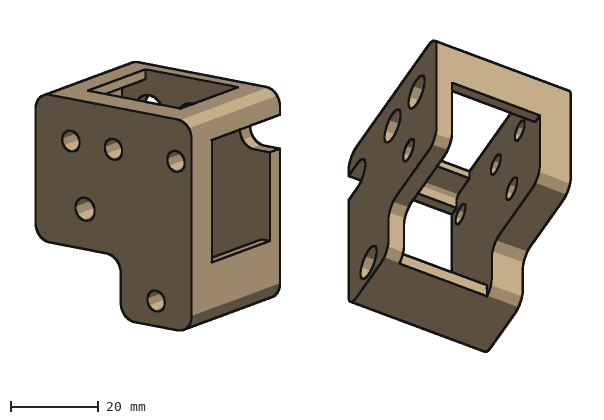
import cadquery as cq

width = 44.0
height = 50.0
depth = 34.5
leg_left = 24.0
body_bottom = 15.0
corner_radius = 4.0

front_thickness = 8.0
back_thickness = 4.0
web_thickness = 2.35
cavity_depth = depth - front_thickness - back_thickness
back_inner = front_thickness + cavity_depth

window_left = 9.0
window_right = 35.1
left_opening_top = 35.65

screw_radius = 2.45
pivot_radius = 2.7
access_radius = 4.0
screw_height = 40.0
edge_screw_x = 39.6
screw_centres = [(10.0, screw_height), (22.0, screw_height), (edge_screw_x, screw_height), (34.0, 6.0)]
pivot_centre = (14.0, 24.5)


def box(x_range, y_range, z_range):
    """Axis-aligned box between the given limits."""
    sizes = [high - low for low, high in (x_range, y_range, z_range)]
    return cq.Workplane("XY").box(*sizes, centered=False).translate((x_range[0], y_range[0], z_range[0]))


def bore(centre, radius, y_start, y_end):
    """Cylinder along Y between two depths."""
    x, z = centre
    length = y_end - y_start
    return cq.Workplane("XZ", origin=(x, y_start, z)).circle(radius).extrude(-length)


def outer_body():
    outline = [
        (leg_left, 0),
        (width, 0),
        (width, height),
        (0, height),
        (0, body_bottom),
        (leg_left, body_bottom),
    ]
    block = cq.Workplane("XZ").polyline(outline).close().extrude(-depth)
    return block.edges("|Y").fillet(corner_radius)


def cavity():
    """Inward offset of the outer profile, with corners concentric to the outside."""
    inner_radius = corner_radius - web_thickness
    step_radius = corner_radius + web_thickness
    left = leg_left + web_thickness
    right = width - web_thickness
    top = height - web_thickness
    bottom = body_bottom + web_thickness
    y_range = (front_thickness, back_inner)
    upper = box((web_thickness, right), y_range, (bottom, top)).edges("|Y").fillet(inner_radius)
    leg = box((left, right), y_range, (web_thickness, top)).edges("|Y").fillet(inner_radius)
    step = box((left - step_radius, left), y_range, (bottom - step_radius, bottom))
    step = step.cut(bore((left - step_radius, bottom - step_radius), step_radius, *y_range))
    return upper.union(leg).union(step)


cavity_y = (front_thickness, back_inner)
access_top = screw_height + access_radius
access_bottom = screw_height - access_radius

result = outer_body().cut(cavity())

result = result.cut(box((window_left, window_right), cavity_y, (height - corner_radius, height)))
result = result.cut(box((0, leg_left + web_thickness), cavity_y, (0, left_opening_top)))
result = result.cut(box((width - corner_radius, width), cavity_y, (body_bottom, access_top)))

for centre in screw_centres:
    result = result.cut(bore(centre, screw_radius, 0, front_thickness))
    result = result.cut(bore(centre, access_radius, back_inner, depth))
result = result.cut(bore(pivot_centre, pivot_radius, 0, depth))

result = result.cut(box((edge_screw_x, width), (back_inner, depth), (access_bottom, access_top)))